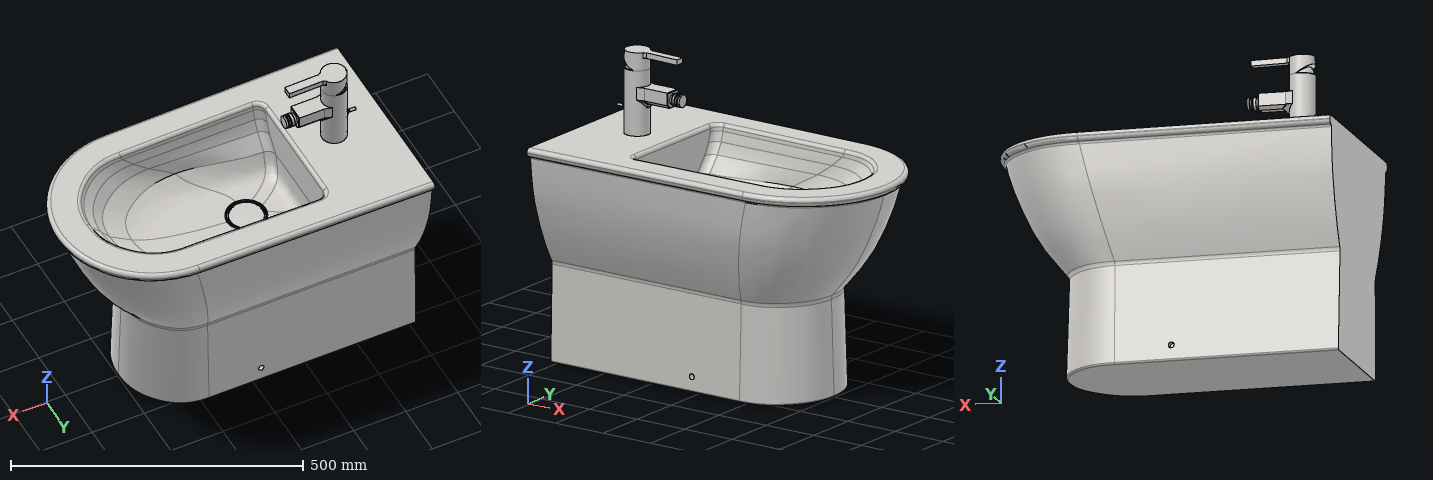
import cadquery as cq
import math

LENGTH = 630.0
DECK_Z = 399.5
BACK_HALF_WIDTH = 186.0
NOSE_RADIUS = 180.0
NOSE_X = LENGTH - NOSE_RADIUS
BACK_LEAN = 3.0

RIM_THICKNESS = 16.5
RIM_ROUND = 7.5
RIM_BOTTOM_Z = DECK_Z - RIM_THICKNESS
NECK_FILLET = 4.5
WAIST_FILLET = 12.5

BASE_TOP_Z = 179.0
BASE_NOSE_X = 401.0
BASE_TOP_TIP_X = 508.5
BASE_TOP_HALF_WIDTH = 114.0
BASE_FOOT_TIP_X = 514.0
BASE_FOOT_HALF_WIDTH = 120.0
BASE_FOOT_FILLET = 3.0

SHELL_LEVELS = [
    (198.5, 125.5, 525.0),
    (238.0, 143.5, 556.0),
    (278.0, 158.0, 579.5),
    (318.0, 168.0, 598.0),
]
SHELL_TOP_HALF_WIDTH = 176.0
SHELL_TOP_TIP_X = 618.5
SIDE_TAPER = BACK_HALF_WIDTH - NOSE_RADIUS

FIXING_HOLE_X = 300.0
FIXING_HOLE_Z = 28.0
FIXING_HOLE_DIAMETER = 10.0
FIXING_HOLE_DEPTH = 12.5

BASIN_BACK_X = 176.0
BASIN_ROUND = 7.0
WALL_LEVELS = [
    (0.0, 126.0, 122.0, 450.5, 571.5),
    (12.5, 123.5, 121.0, 444.0, 564.5),
    (30.0, 118.0, 118.0, 425.0, 547.5),
    (51.0, 107.0, 114.0, 397.0, 530.5),
    (79.0, 84.5, 107.0, 349.5, 487.5),
]
FLOOR_LEVELS = [
    (104.0, 180.0, 69.0, 82.0, 315.0, 418.5),
    (116.0, 195.0, 50.5, 60.0, 283.5, 349.5),
    (121.0, 239.5, 20.0, 23.0, 268.0, 293.0),
]
BASIN_DEPTH = FLOOR_LEVELS[-1][0]
BASIN_CORNER = 16.0

DRAIN_X = 268.0
DRAIN_FLANGE_RADIUS = 36.5
DRAIN_FLANGE_THICKNESS = 4.0
PLUG_RADIUS = 31.0
PLUG_GAP = 2.5
PLUG_SEAT_DEPTH = 2.5
PLUG_DOME_HEIGHT = 3.0
PLUG_EDGE_SLOPE = 0.2
FLANGE_EDGE_CHAMFER = 2.0
FLOOR_Z = DECK_Z - BASIN_DEPTH

TAP_X = 99.5
TAP_DIAMETER = 46.0
TAP_RADIUS = TAP_DIAMETER / 2
TAP_TOP_Z = 516.5
TAP_BALL_RADIUS = 21.0
CAP_TOP_Z = 549.5
CAP_BACK_BOTTOM_Z = 535.0
CAP_SLANT_LENGTH = 29.5
CAP_TILT = 1.0
LEVER_TIP_X = 189.0
LEVER_WIDTH = 17.0
LEVER_THICKNESS = 10.0
LEVER_ROOT_X = TAP_X + 25.0
LEVER_FLARE_X = TAP_X + 18.0
LEVER_FLARE_WIDTH = 25.0
CAP_SCREW_DIAMETER = 5.2
CAP_SCREW_DROP = 5.5
CAP_SCREW_DEPTH = 3.0

SPOUT_TOP_Z = 487.0
SPOUT_HEIGHT = 29.0
SPOUT_WIDTH = 31.5
SPOUT_ROOT_WIDTH = 38.5
SPOUT_ROOT_X = 112.0
SPOUT_FLARE_X = 126.0
SPOUT_TIP_X = 175.0
SPOUT_LOWER_CHAMFER = 6.0
SPOUT_TIP_CHAMFER = 1.0
SPOUT_BOTTOM_Z = SPOUT_TOP_Z - SPOUT_HEIGHT
SPOUT_AXIS_Z = SPOUT_TOP_Z - SPOUT_HEIGHT / 2
CORBEL_DROP = 11.0
CORBEL_REACH = 9.0
CORBEL_TIP_WIDTH = 4.0

OUTLET_RINGS = [(20.0, 4.5), (23.0, 5.5), (18.0, 2.0), (23.0, 3.0), (18.0, 1.0), (22.5, 4.5)]

ROD_Z = 443.0
ROD_DIAMETER = 4.0
ROD_TIP_X = 58.5
ROD_KNOB_LENGTH = 12.0
ROD_KNOB_DIAMETER = 5.5
ROD_ARM_WIDTH = 5.0
ROD_ARM_REACH = 4.0
ROD_ARM_DROP = 12.5


def add_nose(sketch, nose_half, nose_start, tip):
    """Add a half-elliptical nose, from its -Y end round the tip to its +Y end."""
    quarter_x = nose_start + (tip - nose_start) * math.sqrt(0.5)
    quarter_y = nose_half * math.sqrt(0.5)
    return (
        sketch
        .spline([(quarter_x, -quarter_y), (tip, 0)], tangents=[(1, 0), (0, 1)], includeCurrent=True)
        .spline([(quarter_x, quarter_y), (nose_start, nose_half)],
                tangents=[(0, 1), (-1, 0)], includeCurrent=True)
    )


def pan_outline(z, back_half, nose_half, nose_start, tip):
    """Closed D-shaped outline: straight back, near-straight sides, elliptical nose."""
    sides = (
        cq.Workplane("XY", origin=(0, 0, z))
        .moveTo(0, back_half)
        .lineTo(0, -back_half)
        .lineTo(nose_start, -nose_half)
    )
    return add_nose(sides, nose_half, nose_start, tip).close().val()


def loft(outlines, ruled=False):
    """Solid through the outlines, smooth unless ruled."""
    return cq.Workplane(obj=cq.Solid.makeLoft(outlines, ruled))


def shell_outline(z, back_half, tip):
    """Shell outline whose taper and nose start blend from the base to the rim."""
    rise = (z - BASE_TOP_Z) / (RIM_BOTTOM_Z - BASE_TOP_Z)
    nose_start = BASE_NOSE_X + rise * (NOSE_X - BASE_NOSE_X)
    return pan_outline(z, back_half, back_half - rise * SIDE_TAPER, nose_start, tip)


def make_base():
    """Foot that narrows slightly upwards, with its lower edge eased."""
    foot = pan_outline(0, BASE_FOOT_HALF_WIDTH, BASE_FOOT_HALF_WIDTH, BASE_NOSE_X, BASE_FOOT_TIP_X)
    top = pan_outline(BASE_TOP_Z, BASE_TOP_HALF_WIDTH, BASE_TOP_HALF_WIDTH, BASE_NOSE_X, BASE_TOP_TIP_X)
    return loft([foot, top], ruled=True).faces("<Z").edges("not(<X)").fillet(BASE_FOOT_FILLET)


def make_shell():
    """Bulging side wall between the base and the rim."""
    levels = [
        (BASE_TOP_Z, BASE_TOP_HALF_WIDTH, BASE_TOP_TIP_X),
        *SHELL_LEVELS,
        (RIM_BOTTOM_Z, SHELL_TOP_HALF_WIDTH, SHELL_TOP_TIP_X),
    ]
    return loft([shell_outline(*level) for level in levels])


def make_rim():
    """Deck slab with its edge rounded over, except along the flat back."""
    slab = (
        cq.Workplane("XY", origin=(0, 0, RIM_BOTTOM_Z))
        .moveTo(0, BACK_HALF_WIDTH)
        .lineTo(0, -BACK_HALF_WIDTH)
        .lineTo(NOSE_X, -NOSE_RADIUS)
        .threePointArc((LENGTH, 0), (NOSE_X, NOSE_RADIUS))
        .close()
        .extrude(RIM_THICKNESS)
    )
    return slab.faces("|Z").edges("not(<X)").fillet(RIM_ROUND)


def basin_outline(depth, back, corner_half, nose_half, nose_start, tip):
    """Closed basin outline: flat back, round corners, bowed sides, elliptical nose."""
    straight_half = corner_half - BASIN_CORNER
    bend = BASIN_CORNER * (1 - math.sqrt(0.5))
    side_x = back + BASIN_CORNER
    sides = (
        cq.Workplane("XY", origin=(0, 0, DECK_Z - depth))
        .moveTo(back, straight_half)
        .lineTo(back, -straight_half)
        .threePointArc((back + bend, bend - corner_half), (side_x, -corner_half))
        .spline([(nose_start, -nose_half)], tangents=[(1, 0), (1, 0)], includeCurrent=True)
    )
    return (
        add_nose(sides, nose_half, nose_start, tip)
        .spline([(side_x, corner_half)], tangents=[(-1, 0), (-1, 0)], includeCurrent=True)
        .threePointArc((back + bend, corner_half - bend), (back, straight_half))
        .close()
        .val()
    )


def make_basin():
    """Space removed from the pan: steep walls above a shallow dished floor."""
    walls = [basin_outline(depth, BASIN_BACK_X, *sizes) for depth, *sizes in WALL_LEVELS]
    floor = [walls[-1]] + [basin_outline(*level) for level in FLOOR_LEVELS]
    return loft(walls, ruled=True).union(loft(floor))


def make_drain_recess():
    return (
        cq.Workplane("XY", origin=(DRAIN_X, 0, FLOOR_Z - DRAIN_FLANGE_THICKNESS))
        .circle(DRAIN_FLANGE_RADIUS)
        .extrude(BASIN_DEPTH)
    )


def make_fixing_holes():
    """One blind hole in each side of the base, removed as a pair of plugs."""
    slug = (
        cq.Workplane("XZ", origin=(FIXING_HOLE_X, FIXING_HOLE_DEPTH - BASE_FOOT_HALF_WIDTH, FIXING_HOLE_Z))
        .circle(FIXING_HOLE_DIAMETER / 2)
        .extrude(FIXING_HOLE_DEPTH)
    )
    return slug.union(slug.mirror("XZ"))


def make_back_wedge():
    """Thin wedge removed so that the back face leans in towards the foot."""
    return (
        cq.Workplane("XZ")
        .lineTo(BACK_LEAN, 0)
        .lineTo(0, DECK_Z)
        .close()
        .extrude(LENGTH, both=True)
    )


def level_edges(z):
    """Selector for the edges that lie at height z, ahead of the back face."""
    slack = 0.3
    return cq.selectors.BoxSelector((slack, -LENGTH, z - slack), (LENGTH, LENGTH, z + slack))


def make_pan():
    pan = make_base().union(make_shell())
    pan = pan.edges(level_edges(BASE_TOP_Z)).fillet(WAIST_FILLET)
    pan = pan.union(make_rim())
    pan = pan.edges(level_edges(RIM_BOTTOM_Z)).fillet(NECK_FILLET)
    pan = pan.cut(make_back_wedge())
    pan = pan.cut(make_basin())
    pan = pan.faces(">Z").wires(cq.selectors.AreaNthSelector(0)).fillet(BASIN_ROUND)
    return pan.cut(make_drain_recess()).cut(make_fixing_holes())


def make_drain():
    """Flange flush with the basin floor, with a domed plug inside an open ring."""
    seat_z = FLOOR_Z - PLUG_SEAT_DEPTH
    flange_bottom = FLOOR_Z - DRAIN_FLANGE_THICKNESS
    ring_inner = PLUG_RADIUS + PLUG_GAP
    return (
        cq.Workplane("XZ", origin=(DRAIN_X, 0, 0))
        .moveTo(0, flange_bottom)
        .lineTo(DRAIN_FLANGE_RADIUS, flange_bottom)
        .lineTo(DRAIN_FLANGE_RADIUS, FLOOR_Z - FLANGE_EDGE_CHAMFER)
        .lineTo(DRAIN_FLANGE_RADIUS - FLANGE_EDGE_CHAMFER, FLOOR_Z)
        .lineTo(ring_inner, FLOOR_Z)
        .lineTo(ring_inner, seat_z)
        .lineTo(PLUG_RADIUS, seat_z)
        .lineTo(PLUG_RADIUS, FLOOR_Z)
        .spline([(0, FLOOR_Z + PLUG_DOME_HEIGHT)],
                tangents=[(-1, PLUG_EDGE_SLOPE), (-1, 0)], includeCurrent=True)
        .close()
        .revolve(360, (0, 0, 0), (0, 1, 0))
    )


def make_tap_body():
    column = (
        cq.Workplane("XY", origin=(TAP_X, 0, DECK_Z))
        .circle(TAP_RADIUS)
        .extrude(TAP_TOP_Z - DECK_Z)
    )
    ball = cq.Workplane("XY", origin=(TAP_X, 0, TAP_TOP_Z)).sphere(TAP_BALL_RADIUS)
    return column.union(ball)


def make_cap():
    """Cap with a slanted rear underside and a flat lever, tilted together."""
    cap = (
        cq.Workplane("XY", origin=(TAP_X, 0, TAP_TOP_Z))
        .circle(TAP_RADIUS)
        .extrude(CAP_TOP_Z - TAP_TOP_Z)
    )
    back = TAP_X - TAP_RADIUS
    underside = (
        cq.Workplane("XZ")
        .moveTo(back, CAP_BACK_BOTTOM_Z)
        .lineTo(back, TAP_TOP_Z)
        .lineTo(back + CAP_SLANT_LENGTH, TAP_TOP_Z)
        .close()
        .extrude(TAP_RADIUS, both=True)
    )
    lever = (
        cq.Workplane("XY", origin=(0, 0, CAP_TOP_Z - LEVER_THICKNESS))
        .moveTo(TAP_X, LEVER_FLARE_WIDTH / 2)
        .lineTo(LEVER_FLARE_X, LEVER_FLARE_WIDTH / 2)
        .lineTo(LEVER_ROOT_X, LEVER_WIDTH / 2)
        .lineTo(LEVER_TIP_X, LEVER_WIDTH / 2)
        .lineTo(LEVER_TIP_X, -LEVER_WIDTH / 2)
        .lineTo(LEVER_ROOT_X, -LEVER_WIDTH / 2)
        .lineTo(LEVER_FLARE_X, -LEVER_FLARE_WIDTH / 2)
        .lineTo(TAP_X, -LEVER_FLARE_WIDTH / 2)
        .close()
        .extrude(LEVER_THICKNESS)
    )
    screw_hole = (
        cq.Workplane("YZ", origin=(back, 0, CAP_TOP_Z - CAP_SCREW_DROP))
        .circle(CAP_SCREW_DIAMETER / 2)
        .extrude(CAP_SCREW_DEPTH)
    )
    cap = cap.cut(underside).union(lever).cut(screw_hole)
    return cap.rotate((back, 0, TAP_TOP_Z), (back, 1, TAP_TOP_Z), CAP_TILT)


def make_spout():
    """Square spout flaring into the column, over a small corbel."""
    bar = (
        cq.Workplane("XY", origin=(0, 0, SPOUT_BOTTOM_Z))
        .center((TAP_X + SPOUT_TIP_X) / 2, 0)
        .rect(SPOUT_TIP_X - TAP_X, SPOUT_WIDTH)
        .extrude(SPOUT_HEIGHT)
        .faces("<Z").edges("|X").chamfer(SPOUT_LOWER_CHAMFER)
        .faces(">X").chamfer(SPOUT_TIP_CHAMFER)
    )
    flare = (
        cq.Workplane("XY", origin=(0, 0, SPOUT_BOTTOM_Z + SPOUT_LOWER_CHAMFER))
        .moveTo(SPOUT_ROOT_X, SPOUT_ROOT_WIDTH / 2)
        .lineTo(SPOUT_FLARE_X, SPOUT_WIDTH / 2)
        .lineTo(SPOUT_FLARE_X, -SPOUT_WIDTH / 2)
        .lineTo(SPOUT_ROOT_X, -SPOUT_ROOT_WIDTH / 2)
        .close()
        .extrude(SPOUT_HEIGHT - SPOUT_LOWER_CHAMFER)
    )
    front = TAP_X + TAP_RADIUS
    tip_z = SPOUT_BOTTOM_Z - CORBEL_DROP
    root_z = SPOUT_BOTTOM_Z + SPOUT_LOWER_CHAMFER
    corbel_side = (
        cq.Workplane("XZ")
        .moveTo(TAP_X, root_z)
        .lineTo(TAP_X, tip_z)
        .lineTo(front, tip_z)
        .lineTo(front + CORBEL_REACH, SPOUT_BOTTOM_Z)
        .lineTo(front, root_z)
        .close()
        .extrude(SPOUT_ROOT_WIDTH / 2, both=True)
    )
    corbel_front = (
        cq.Workplane("YZ", origin=(TAP_X, 0, 0))
        .moveTo(-SPOUT_ROOT_WIDTH / 2, root_z)
        .lineTo(-CORBEL_TIP_WIDTH / 2, tip_z)
        .lineTo(CORBEL_TIP_WIDTH / 2, tip_z)
        .lineTo(SPOUT_ROOT_WIDTH / 2, root_z)
        .close()
        .extrude(SPOUT_TIP_X - TAP_X)
    )
    corbel = corbel_side.intersect(corbel_front)
    return bar.union(flare).union(corbel)


def make_outlet():
    outlet = cq.Workplane("YZ")
    start = SPOUT_TIP_X
    for diameter, length in OUTLET_RINGS:
        ring = (
            cq.Workplane("YZ", origin=(start, 0, SPOUT_AXIS_Z))
            .circle(diameter / 2)
            .extrude(length)
        )
        outlet = outlet.add(ring)
        start += length
    return outlet.combine()


def make_rod():
    """Waste control rod behind the column, with its knob and drop arm."""
    back = TAP_X - TAP_RADIUS
    knob = (
        cq.Workplane("YZ", origin=(ROD_TIP_X, 0, ROD_Z))
        .circle(ROD_KNOB_DIAMETER / 2)
        .extrude(ROD_KNOB_LENGTH)
    )
    rod = (
        cq.Workplane("YZ", origin=(ROD_TIP_X, 0, ROD_Z))
        .circle(ROD_DIAMETER / 2)
        .extrude(TAP_X - ROD_TIP_X)
    )
    arm_top = ROD_Z + ROD_KNOB_DIAMETER / 2
    arm = (
        cq.Workplane("XZ")
        .moveTo(TAP_X, arm_top)
        .lineTo(back - ROD_ARM_REACH, arm_top)
        .lineTo(back - ROD_ARM_REACH, ROD_Z - ROD_KNOB_DIAMETER / 2)
        .lineTo(back, ROD_Z - ROD_ARM_DROP)
        .lineTo(TAP_X, ROD_Z - ROD_ARM_DROP)
        .close()
        .extrude(ROD_ARM_WIDTH / 2, both=True)
    )
    return knob.union(rod).union(arm)


def make_tap():
    tap = make_tap_body()
    for piece in (make_cap(), make_spout(), make_outlet(), make_rod()):
        tap = tap.union(piece)
    return tap


pan = make_pan()
drain = make_drain()
tap = make_tap()

result = cq.Compound.makeCompound([pan.val(), drain.val(), tap.val()])